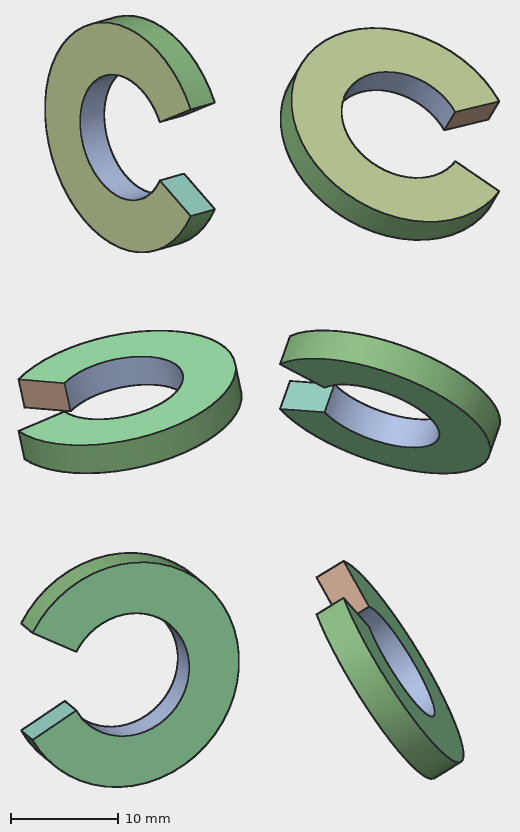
import cadquery as cq
import math

outer_radius = 10.98
bore_radius = 6.0
thickness = 3.0
gap_half_angle = math.radians(28.6)


def ring_point(radius, direction):
    """Corner where an end face meets a circle; direction is +1 (upper) or -1 (lower)."""
    return (
        radius * math.cos(gap_half_angle),
        direction * radius * math.sin(gap_half_angle),
    )


result = (
    cq.Workplane("XZ")
    .moveTo(*ring_point(outer_radius, 1))
    .threePointArc((-outer_radius, 0), ring_point(outer_radius, -1))
    .lineTo(*ring_point(bore_radius, -1))
    .threePointArc((-bore_radius, 0), ring_point(bore_radius, 1))
    .close()
    .extrude(thickness / 2, both=True)
)